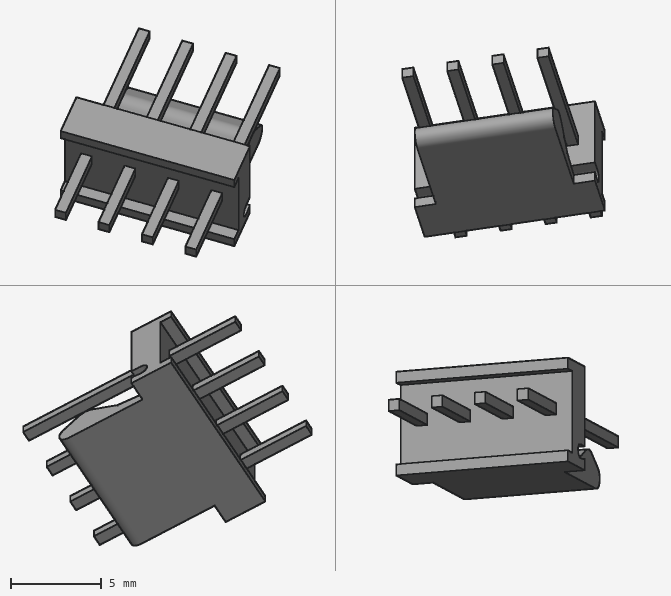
import cadquery as cq
import math


pin_count = 4
pitch = 2.54
pin_size = 0.64
pin_length = 13.59
pin_rear_y = 7.5
pin_center_z = 3.17

housing_width = pin_count * pitch
housing_height = 5.85
housing_depth = 2.54
web_depth = 1.86
flange_thickness = 0.63

slot_radius = 0.4
slot_center_y = -0.61
slot_center_z = 0.95

tongue_width = 7.77
knee_y, knee_z = 1.6, 0.85
crest_y, crest_z = 3.7, 2.16
tip_y = 6.78
crest_radius = 0.8
tip_radius = 0.67

knee_dy = knee_y - slot_center_y
knee_dz = knee_z - slot_center_z
knee_distance = math.hypot(knee_dy, knee_dz)
tangent_angle = math.atan2(knee_dz, knee_dy) - math.acos(slot_radius / knee_distance)
root_y = slot_center_y + slot_radius * math.cos(tangent_angle)
root_z = slot_center_z + slot_radius * math.sin(tangent_angle)
arm_slope = (knee_z - root_z) / (knee_y - root_y)
arm_z_at_housing = root_z - arm_slope * root_y


def centered_profile(width):
    """YZ workplane whose extrusion by width is centered on X = 0."""
    return cq.Workplane("YZ", origin=(-width / 2, 0, 0))


def make_housing():
    slot_top_z = slot_center_z + slot_radius
    upper_flange_z = housing_height - flange_thickness
    return (
        centered_profile(housing_width)
        .moveTo(0, 0)
        .lineTo(0, arm_z_at_housing)
        .lineTo(root_y, root_z)
        .threePointArc(
            (slot_center_y - slot_radius, slot_center_z),
            (slot_center_y, slot_top_z),
        )
        .lineTo(0, slot_top_z)
        .lineTo(0, housing_height)
        .lineTo(-housing_depth, housing_height)
        .lineTo(-housing_depth, upper_flange_z)
        .lineTo(-web_depth, upper_flange_z)
        .lineTo(-web_depth, flange_thickness)
        .lineTo(-housing_depth, flange_thickness)
        .lineTo(-housing_depth, 0)
        .close()
        .extrude(housing_width)
    )


def make_tongue():
    tongue = (
        centered_profile(tongue_width)
        .moveTo(0, 0)
        .lineTo(0, arm_z_at_housing)
        .lineTo(knee_y, knee_z)
        .lineTo(crest_y, crest_z)
        .lineTo(tip_y, 0)
        .close()
        .extrude(tongue_width)
    )
    tongue = tongue.edges("|X").edges(">Z").fillet(crest_radius)
    return tongue.edges("|X").edges(">Y").fillet(tip_radius)


def make_pin(x):
    center = (x, pin_rear_y - pin_length / 2, pin_center_z)
    return cq.Workplane("XY").box(pin_size, pin_length, pin_size).translate(center)


result = make_housing().union(make_tongue())
for index in range(pin_count):
    pin_x = (index - (pin_count - 1) / 2) * pitch
    result = result.union(make_pin(pin_x))